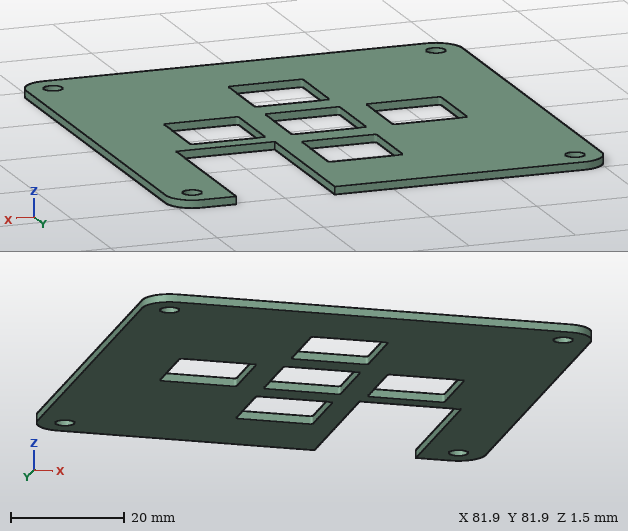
import cadquery as cq

side = 81.9
thickness = 1.5
corner_radius = 5.0

hole_diameter = 3.4
hole_spacing = side - 2 * corner_radius

key_size = 14.0
key_corner_radius = 0.5
key_pitch = 19.0
key_center_x = -0.5
key_center_y = -0.5

notch_left = 11.0
notch_width = 18.5
notch_depth = 31.05


def make_plate():
    plate = cq.Workplane("XY").box(side, side, thickness)
    return plate.edges("|Z").fillet(corner_radius)


def make_screw_holes():
    holes = cq.Workplane("XY").rect(hole_spacing, hole_spacing, forConstruction=True)
    return holes.vertices().circle(hole_diameter / 2).extrude(thickness, both=True)


def make_key_openings():
    cross = [(0, 0), (1, 0), (-1, 0), (0, 1), (0, -1)]
    centers = [(key_center_x + i * key_pitch, key_center_y + j * key_pitch) for i, j in cross]
    openings = cq.Workplane("XY").pushPoints(centers).rect(key_size, key_size)
    return openings.extrude(thickness, both=True).edges("|Z").fillet(key_corner_radius)


def make_notch():
    center_x = notch_left + notch_width / 2
    center_y = side / 2 - notch_depth / 2
    notch = cq.Workplane("XY").center(center_x, center_y).rect(notch_width, notch_depth)
    return notch.extrude(thickness, both=True)


result = make_plate().cut(make_screw_holes()).cut(make_key_openings()).cut(make_notch())